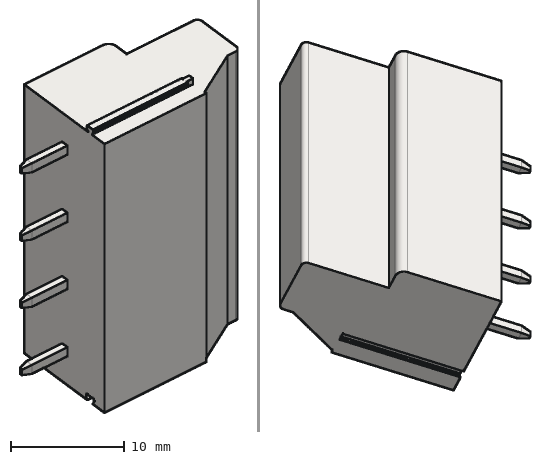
import cadquery as cq

width = 11.2
depth = 18.0
height = 29.95
step_x = 2.33
step_y = 9.82
step_radius = 0.83
rear_right_x = 8.17
rear_radius = 0.52
slope_top_y = 16.55
slope_end_x = 10.95
ledge_y = 11.65

pin_count = 4
pitch = height / pin_count
pin_x = 5.65
pin_width = 0.73
pin_height = 1.0
pin_length = 5.02
tip_length = 0.95
tip_width = 0.3
tip_height = 0.6

joint_x = 9.18
joint_height = 0.65
lip_height = 0.2
rail_neck = 0.55
rail_lip = 0.98
rail_top = 0.8
rail_length = 10.83
stub_length = 0.73
groove_neck = 0.73
groove_lip = 1.15
groove_top = 0.98


def round_corner(body, x, y, radius):
    """Fillet the vertical edge standing at (x, y)."""
    edge = cq.selectors.NearestToPointSelector((x, y, height / 2))
    return body.edges(edge).fillet(radius)


def make_housing():
    """Stepped terminal housing with a sloped face on the +X side."""
    outline = (
        cq.Workplane("XY")
        .moveTo(0, 0)
        .lineTo(width, 0)
        .lineTo(width, ledge_y)
        .lineTo(slope_end_x, ledge_y)
        .lineTo(rear_right_x, slope_top_y)
        .lineTo(rear_right_x, depth)
        .lineTo(step_x, depth)
        .lineTo(step_x, step_y)
        .lineTo(0, step_y)
        .close()
    )
    body = outline.extrude(height)
    body = round_corner(body, 0, step_y, step_radius)
    body = round_corner(body, step_x, depth, rear_radius)
    return round_corner(body, rear_right_x, depth, rear_radius)


def dovetail(base_z, neck, lip, top, length):
    """Bar along +Y from the front face, flaring upward from its neck to a tapered lip."""
    lip_z = base_z + joint_height - lip_height
    top_z = base_z + joint_height
    return (
        cq.Workplane("XZ")
        .polyline(
            [
                (joint_x - neck / 2, base_z),
                (joint_x + neck / 2, base_z),
                (joint_x + lip / 2, lip_z),
                (joint_x + top / 2, top_z),
                (joint_x - top / 2, top_z),
                (joint_x - lip / 2, lip_z),
            ]
        )
        .close()
        .extrude(-length)
    )


def make_rail():
    """Dovetail rail with a narrow straight stub at its rear end."""
    bar = dovetail(height, rail_neck, rail_lip, rail_top, rail_length)
    stub = cq.Workplane("XY").box(
        rail_neck, rail_length + stub_length, joint_height, centered=(True, False, False)
    )
    return bar.union(stub.translate((joint_x, 0, height)))


def make_pin(pin_z):
    """Rectangular pin pointing to -Y, ending in a tapered tip."""
    shank_length = pin_length - tip_length
    shank = (
        cq.Workplane("XZ", origin=(pin_x, 0, pin_z))
        .rect(pin_width, pin_height)
        .extrude(shank_length)
    )
    tip = (
        cq.Workplane("XZ", origin=(pin_x, -shank_length, pin_z))
        .rect(pin_width, pin_height)
        .workplane(offset=tip_length)
        .rect(tip_width, tip_height)
        .loft(ruled=True)
    )
    return shank.union(tip)


result = make_housing().union(make_rail())
groove_length = rail_length + stub_length
result = result.cut(dovetail(0, groove_neck, groove_lip, groove_top, groove_length))
for index in range(pin_count):
    result = result.union(make_pin((index + 0.5) * pitch))